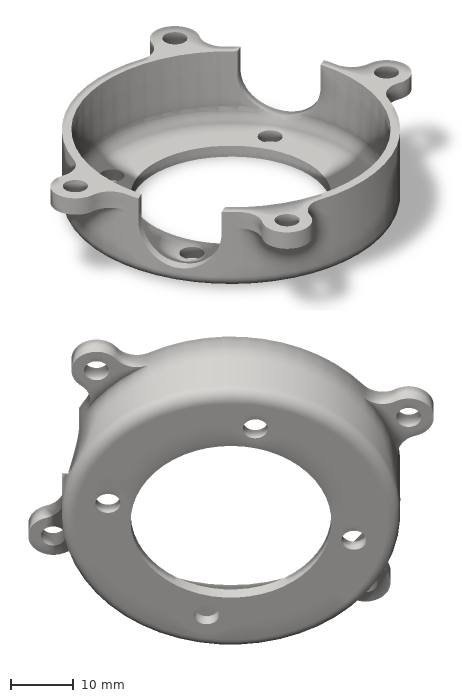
import cadquery as cq
import math

overall_length = 58.75
cup_diameter = 54.0
cup_height = 14.0
bore_diameter = 32.0
screw_diameter = 4.0
wall = 1.5
floor_thickness = 2.0
edge_radius = 2.0
floor_hole_circle = 40.0
ear_thickness = 3.0
ear_radius = 4.0
ear_blend_radius = 4.0
ear_angle = 55.0
notch_width = 14.0
notch_bottom = 3.0

cup_radius = cup_diameter / 2
cavity_radius = cup_radius - wall
notch_radius = notch_width / 2
notch_center_z = notch_bottom + notch_radius
ear_distance = (overall_length / 2 - ear_radius) / math.sin(math.radians(ear_angle))
ear_x = ear_distance * math.cos(math.radians(ear_angle))
ear_y = ear_distance * math.sin(math.radians(ear_angle))


def make_cup_body():
    body = cq.Workplane("XY").circle(cup_radius).extrude(cup_height)
    return body.faces("<Z").edges().fillet(edge_radius)


def make_cavity():
    cavity = (
        cq.Workplane("XY")
        .workplane(offset=floor_thickness)
        .circle(cavity_radius)
        .extrude(cup_height - floor_thickness)
    )
    return cavity.faces("<Z").edges().fillet(edge_radius)


def make_ear():
    """Ear on the +X axis, blended into the cup by two concave arcs."""
    cup_to_blend = cup_radius + ear_blend_radius
    ear_to_blend = ear_radius + ear_blend_radius
    blend_x = (ear_distance**2 + cup_to_blend**2 - ear_to_blend**2) / (2 * ear_distance)
    blend_y = math.sqrt(cup_to_blend**2 - blend_x**2)

    cup_share = cup_radius / cup_to_blend
    cup_x, cup_y = blend_x * cup_share, blend_y * cup_share
    ear_share = ear_radius / ear_to_blend
    tip_x = ear_distance + (blend_x - ear_distance) * ear_share
    tip_y = blend_y * ear_share

    chord_x = (cup_x + tip_x) / 2 - blend_x
    chord_y = (cup_y + tip_y) / 2 - blend_y
    chord_distance = math.hypot(chord_x, chord_y)
    middle_x = blend_x + ear_blend_radius * chord_x / chord_distance
    middle_y = blend_y + ear_blend_radius * chord_y / chord_distance

    return (
        cq.Workplane("XY")
        .workplane(offset=cup_height - ear_thickness)
        .lineTo(cup_x, -cup_y)
        .threePointArc((middle_x, -middle_y), (tip_x, -tip_y))
        .threePointArc((ear_distance + ear_radius, 0), (tip_x, tip_y))
        .threePointArc((middle_x, middle_y), (cup_x, cup_y))
        .close()
        .extrude(ear_thickness)
    )


def make_notch():
    """Round-bottomed notch running along Y through both walls."""
    round_bottom = (
        cq.Workplane("XZ")
        .center(0, notch_center_z)
        .circle(notch_radius)
        .extrude(overall_length / 2, both=True)
    )
    open_top = cq.Workplane("XY").box(
        notch_width, overall_length, cup_height, centered=(True, True, False)
    )
    return round_bottom.union(open_top.translate((0, 0, notch_center_z)))


def make_holes():
    """Central bore and the screw holes through floor and ears."""
    bore = cq.Workplane("XY").circle(bore_diameter / 2).extrude(cup_height)
    floor_holes = (
        cq.Workplane("XY")
        .polarArray(floor_hole_circle / 2, 0, 360, 4)
        .circle(screw_diameter / 2)
        .extrude(cup_height)
    )
    ear_holes = (
        cq.Workplane("XY")
        .rect(2 * ear_x, 2 * ear_y, forConstruction=True)
        .vertices()
        .circle(screw_diameter / 2)
        .extrude(cup_height)
    )
    return bore.union(floor_holes).union(ear_holes)


result = make_cup_body()
ear = make_ear()
for angle in (ear_angle, 180 - ear_angle, 180 + ear_angle, -ear_angle):
    result = result.union(ear.rotate((0, 0, 0), (0, 0, 1), angle))
result = result.cut(make_cavity()).cut(make_notch()).cut(make_holes())